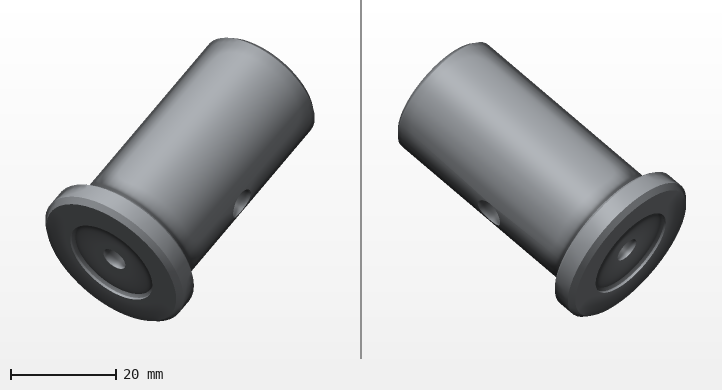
import cadquery as cq
import math

length = 50.8
flange_diameter = 32.0
flange_thickness = 5.0
body_diameter = 25.4
edge_chamfer = 1.0
flange_back_chamfer = 0.5

recess_wall_diameter = 19.0
recess_chamfer = 0.5
recess_depth = 1.0

axial_hole_diameter = 5.1
axial_hole_depth = 12.7
drill_point_angle = 118.0

cross_hole_diameter = 6.0

front_y = -length / 2
back_y = length / 2
flange_back_y = front_y + flange_thickness
cross_hole_y = 0.0


def revolve_about_y(points):
    """Revolve a closed (radius, y) outline around the Y axis."""
    return cq.Workplane("XY").polyline(points).close().revolve(360, (0, 0, 0), (0, 1, 0))


def make_flanged_pin():
    flange_radius = flange_diameter / 2
    body_radius = body_diameter / 2
    return revolve_about_y([
        (0, front_y),
        (flange_radius - edge_chamfer, front_y),
        (flange_radius, front_y + edge_chamfer),
        (flange_radius, flange_back_y - flange_back_chamfer),
        (flange_radius - flange_back_chamfer, flange_back_y),
        (body_radius, flange_back_y),
        (body_radius, back_y - edge_chamfer),
        (body_radius - edge_chamfer, back_y),
        (0, back_y),
    ])


def make_face_recess():
    """Round recess with a straight wall and a 45 degree chamfer down to the floor."""
    wall_radius = recess_wall_diameter / 2
    floor_radius = wall_radius - recess_chamfer
    floor_y = front_y + recess_depth
    return revolve_about_y([
        (0, front_y),
        (wall_radius, front_y),
        (wall_radius, floor_y - recess_chamfer),
        (floor_radius, floor_y),
        (0, floor_y),
    ])


def make_axial_hole():
    radius = axial_hole_diameter / 2
    bottom_y = front_y + axial_hole_depth
    point_length = radius / math.tan(math.radians(drill_point_angle / 2))
    return revolve_about_y([
        (0, front_y),
        (radius, front_y),
        (radius, bottom_y),
        (0, bottom_y + point_length),
    ])


def make_cross_hole():
    return (
        cq.Workplane("YZ")
        .center(cross_hole_y, 0)
        .circle(cross_hole_diameter / 2)
        .extrude(body_diameter, both=True)
    )


result = (
    make_flanged_pin()
    .cut(make_face_recess())
    .cut(make_axial_hole())
    .cut(make_cross_hole())
)